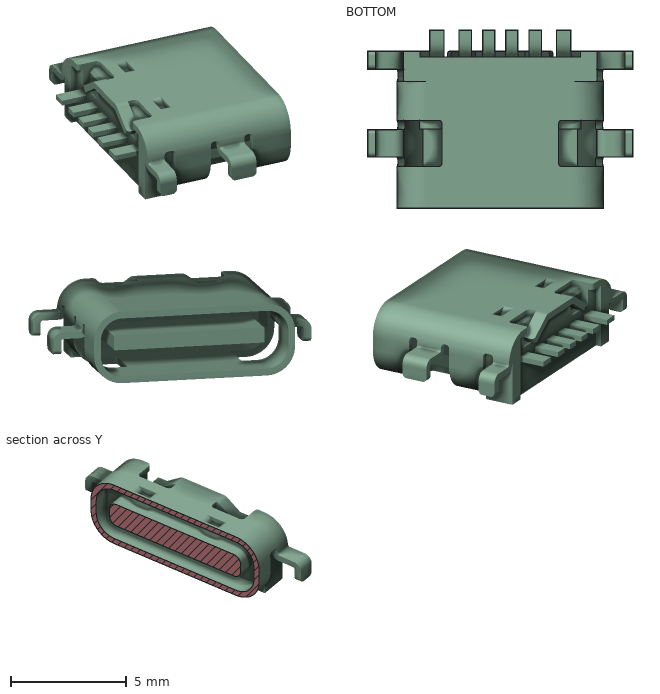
import cadquery as cq
import math


shell_width = 8.93
shell_height = 3.16
shell_length = 6.79
sheet = 0.3
shell_radius = 1.25
bore_width = shell_width - 2 * sheet
bore_height = shell_height - 2 * sheet
bore_radius = shell_radius - sheet
roof_under = shell_height - sheet
mid_height = shell_height / 2

leg_span = 11.45
leg_top = 1.88
leg_tip = 0.89
leg_thickness = 0.34
leg_outer_radius = 0.39
leg_inner_radius = 0.09
leg_root_radius = 0.1
leg_root_z = leg_top + leg_root_radius
leg_corner_radius = 0.2
leg_ranges = ((0.0, 0.79), (3.39, 4.58))

front_opening = (0.0, 1.3)
rear_opening = (2.99, 4.98)
opening_inner_x = 2.52
opening_radius = 0.15
slit_top = 2.24
slit_radius = 0.17
slit_ranges = (
    (leg_ranges[0][1], front_opening[1]),
    (rear_opening[0], leg_ranges[1][0]),
    (leg_ranges[1][1], rear_opening[1]),
)

notch_inner_x = 1.08
notch_outer_x = 2.79
notch_depth = 1.02
notch_radius = 0.18
notch_lip_radius = 0.15
tab_width = 0.58
tab_length = 1.27
tab_angle = 35.0
tab_corner_radius = 0.15

spring_x = 1.83
spring_width = 1.13
spring_start = 1.59
spring_end = 2.05
spring_angle = 60.0
spring_flank_run = 0.07
spring_foot_radius = 0.08

housing_back = front_opening[1]
recess_width = 6.95
recess_depth = 0.25
pocket_floor = 2.13
pocket_floor_inner_x = 1.49
pocket_roof_inner_x = 1.1
pocket_back = 0.58
pocket_bevel = 0.18

tongue_width = 6.69
tongue_thickness = 0.66
tongue_edge_radius = 0.03
tongue_end = 5.84
tongue_base_width = 6.98
tongue_base_thickness = 1.18
tongue_base_radius = 0.4
tongue_base_end = 3.35

pin_pairs = ((0.49, 0.53), (1.51, 0.56), (2.74, 0.63))
pin_length = 0.9
pin_bottom = 1.57
pin_thickness = 0.23


def box(x_range, y_range, z_range):
    """Axis-aligned block between the given limits."""
    size = [high - low for low, high in (x_range, y_range, z_range)]
    corner = (x_range[0], y_range[0], z_range[0])
    return cq.Workplane("XY").box(*size, centered=False).translate(corner)


def front_plane(y):
    """XZ sketch plane at the given Y; a negative extrusion runs toward +Y."""
    return cq.Workplane("XZ", origin=(0, y, 0))


def rounded_bar(width, height, radius, y_start, y_end):
    """Bar along Y, centred on the shell axis, with rounded long edges."""
    profile = front_plane(y_start).center(0, mid_height).rect(width, height)
    return profile.extrude(y_start - y_end).edges("|Y").fillet(radius)


def both_sides(body):
    """Body together with its mirror image across the YZ plane."""
    return body.union(body.mirror("YZ"))


def side_opening(y_range):
    """Opening in the right side of the shell, below the roots of the legs."""
    opening = box((opening_inner_x, leg_span), y_range, (-sheet, leg_root_z))
    return opening.edges("<X and |Z").fillet(opening_radius)


def slit(y_range):
    """Relief slit in the right side, standing beside a leg and rounded at the top."""
    body = box((opening_inner_x, leg_span), y_range, (mid_height, slit_top))
    return body.edges(">Z and |X").fillet(slit_radius)


def leg(y_range):
    """Right-hand leg: root bend out of the wall, level arm and foot bent down."""
    root_x = shell_width / 2
    end_x = leg_span / 2
    arm_bottom = leg_top - sheet
    root_outer = leg_root_radius + sheet
    diagonal = math.sqrt(0.5)
    bend_x = root_x + leg_root_radius
    foot_x = end_x - leg_thickness
    foot_bend_x = end_x - leg_outer_radius
    foot_bend_z = leg_top - leg_outer_radius
    inner_x = foot_x - leg_inner_radius
    inner_z = arm_bottom - leg_inner_radius
    profile = (
        front_plane(y_range[0])
        .moveTo(root_x, leg_root_z)
        .threePointArc(
            (bend_x - leg_root_radius * diagonal, leg_root_z - leg_root_radius * diagonal),
            (bend_x, leg_top),
        )
        .lineTo(foot_bend_x, leg_top)
        .threePointArc(
            (foot_bend_x + leg_outer_radius * diagonal, foot_bend_z + leg_outer_radius * diagonal),
            (end_x, foot_bend_z),
        )
        .lineTo(end_x, leg_tip)
        .lineTo(foot_x, leg_tip)
        .lineTo(foot_x, inner_z)
        .threePointArc(
            (inner_x + leg_inner_radius * diagonal, inner_z + leg_inner_radius * diagonal),
            (inner_x, arm_bottom),
        )
        .lineTo(bend_x, arm_bottom)
        .threePointArc(
            (bend_x - root_outer * diagonal, leg_root_z - root_outer * diagonal),
            (root_x - sheet, leg_root_z),
        )
        .close()
    )
    body = profile.extrude(y_range[0] - y_range[1])
    return body.faces("<Z").edges("|X").fillet(leg_corner_radius)


def notch():
    """Right-hand cut-out in the front edge of the roof."""
    z_range = (roof_under, shell_height)
    opening = box((notch_inner_x, notch_outer_x), (0, notch_depth), z_range)
    opening = opening.edges(">Y and |Z").fillet(notch_radius)
    lip = box((notch_outer_x, notch_outer_x + notch_lip_radius), (0, notch_lip_radius), z_range)
    lip_round = (
        cq.Workplane("XY", origin=(notch_outer_x + notch_lip_radius, notch_lip_radius, z_range[0]))
        .circle(notch_lip_radius)
        .extrude(z_range[1] - z_range[0])
    )
    return opening.union(lip.cut(lip_round))


def tab():
    """Right-hand tab, hinged along the inner edge of the notch and bent down."""
    angle = math.radians(tab_angle)

    def bend_point(turn):
        """Point on the rounded top of the hinge bend."""
        return (notch_inner_x + sheet * math.sin(turn), roof_under + sheet * math.cos(turn))

    bend_end = bend_point(angle)
    tip = (bend_end[0] + tab_length * math.cos(angle), bend_end[1] - tab_length * math.sin(angle))
    under_tip = (tip[0] - sheet * math.sin(angle), tip[1] - sheet * math.cos(angle))
    arm = (
        front_plane(0)
        .moveTo(notch_inner_x, shell_height)
        .threePointArc(bend_point(angle / 2), bend_end)
        .lineTo(*tip)
        .lineTo(*under_tip)
        .lineTo(notch_inner_x, roof_under)
        .close()
        .extrude(-tab_width)
    )
    margin = sheet / 10
    tip_edges = cq.selectors.BoxSelector(
        (under_tip[0] - margin, -margin, under_tip[1] - margin),
        (tip[0] + margin, tab_width + margin, tip[1] + margin),
        boundingbox=True,
    )
    return arm.edges(tip_edges).edges("not |Y").fillet(tab_corner_radius)


def spring():
    """Right-hand spring: a strip of roof sheet pressed down into a flat-bottomed trough."""
    angle = math.radians(spring_angle)
    end_x = spring_width / 2
    flank_top_x = end_x - sheet * math.sin(angle)
    flank_top_z = roof_under + sheet * math.cos(angle)
    foot_x = flank_top_x - spring_flank_run
    foot_z = flank_top_z - spring_flank_run * math.tan(angle)
    floor_end_x = foot_x - spring_foot_radius * math.sin(angle)
    floor_z = foot_z - spring_foot_radius * (1 - math.cos(angle))
    under_radius = spring_foot_radius + sheet

    def rim_point(turn):
        """Point on the rounded rim, where the strip leaves the roof."""
        return (end_x - sheet * math.sin(turn), roof_under + sheet * math.cos(turn))

    def foot_point(radius, turn):
        """Point on the bend between the floor and the flank."""
        return (
            floor_end_x + radius * math.sin(turn),
            floor_z + spring_foot_radius - radius * math.cos(turn),
        )

    half = (
        front_plane(spring_start)
        .moveTo(0, floor_z)
        .lineTo(floor_end_x, floor_z)
        .threePointArc(foot_point(spring_foot_radius, angle / 2), (foot_x, foot_z))
        .lineTo(flank_top_x, flank_top_z)
        .threePointArc(rim_point(angle / 2), (end_x, shell_height))
        .lineTo(end_x, roof_under)
        .lineTo(*foot_point(under_radius, angle))
        .threePointArc(foot_point(under_radius, angle / 2), (floor_end_x, floor_z - sheet))
        .lineTo(0, floor_z - sheet)
        .close()
        .extrude(spring_start - spring_end)
    )
    return both_sides(half).translate((spring_x, 0, 0))


def shell():
    """Tube with side openings, legs, roof notches, tabs and contact springs."""
    tube = rounded_bar(shell_width, shell_height, shell_radius, 0, shell_length)
    tube = tube.cut(rounded_bar(bore_width, bore_height, bore_radius, 0, shell_length))
    tube = tube.cut(box((-shell_width, shell_width), front_opening, (-sheet, mid_height)))
    cuts = [side_opening(front_opening), side_opening(rear_opening), notch()]
    cuts += [slit(y_range) for y_range in slit_ranges]
    for cut in cuts:
        tube = tube.cut(both_sides(cut))
    right_parts = [leg(y_range) for y_range in leg_ranges] + [tab()]
    for right_part in right_parts:
        tube = tube.union(both_sides(right_part))
    slot = box(
        (spring_x - spring_width / 2, spring_x + spring_width / 2),
        (spring_start, spring_end),
        (roof_under, shell_height),
    )
    return tube.cut(both_sides(slot)).union(both_sides(spring()))


def housing():
    """Insulating block at the front, with its recessed face and top pockets."""
    block = rounded_bar(bore_width, bore_height, bore_radius, 0, housing_back)
    block = block.union(box((-bore_width / 2, bore_width / 2), (0, housing_back), (0, mid_height)))
    block = block.cut(box((-recess_width / 2, recess_width / 2), (0, recess_depth), (0, shell_height)))
    pocket = (
        front_plane(0)
        .polyline(
            [
                (pocket_roof_inner_x, roof_under),
                (notch_outer_x, roof_under),
                (notch_outer_x, pocket_floor),
                (pocket_floor_inner_x, pocket_floor),
            ]
        )
        .close()
        .extrude(-pocket_back - pocket_bevel)
    )
    beyond_bevel = (
        cq.Workplane("YZ")
        .polyline(
            [
                (pocket_back + pocket_bevel, roof_under),
                (pocket_back, roof_under - pocket_bevel),
                (pocket_back, pocket_floor),
                (pocket_back + pocket_bevel, pocket_floor),
            ]
        )
        .close()
        .extrude(notch_outer_x)
    )
    return block.cut(both_sides(pocket.cut(beyond_bevel)))


def tongue():
    """Contact tongue with its thicker root, standing on the back of the housing."""
    blade = rounded_bar(tongue_width, tongue_thickness, tongue_edge_radius, housing_back, tongue_end)
    root = rounded_bar(
        tongue_base_width, tongue_base_thickness, tongue_base_radius, housing_back, tongue_base_end
    )
    return blade.union(root)


def pins():
    """Row of flat pins reaching out of the recessed housing face."""
    row = cq.Workplane("XY")
    for centre, width in pin_pairs:
        pin = box(
            (centre - width / 2, centre + width / 2),
            (-pin_length, recess_depth),
            (pin_bottom, pin_bottom + pin_thickness),
        )
        row = row.union(both_sides(pin))
    return row


result = shell().union(housing()).union(tongue()).union(pins())